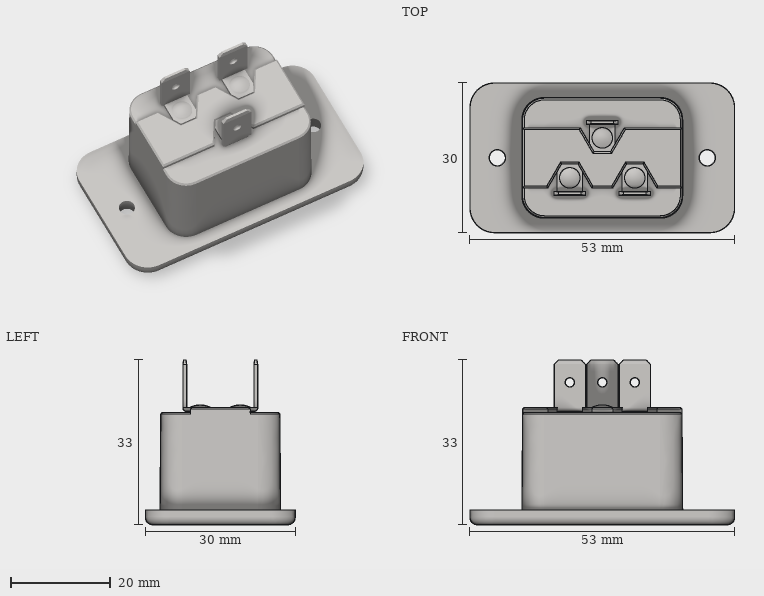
import cadquery as cq
import math

FLANGE_LENGTH = 53.0
FLANGE_WIDTH = 30.0
FLANGE_THICKNESS = 3.0
FLANGE_CORNER_RADIUS = 5.0
FLANGE_EDGE_RADIUS = FLANGE_THICKNESS / 2
MOUNT_HOLE_SPACING = 42.0
MOUNT_HOLE_DIAMETER = 3.2

HOUSING_LENGTH = 32.2
HOUSING_WIDTH = 24.15
HOUSING_CORNER_RADIUS = 4.5
HOUSING_DRAFT = 0.4
ROOF_Z = 23.5
STEP_DEPTH = 1.0
LEDGE_Z = ROOF_Z - STEP_DEPTH
RIDGE_HALF_WIDTH = 6.0
EDGE_CHAMFER = 0.35

NOTCH_END_Y = 1.23
NOTCH_END_HALF_WIDTH = 1.65
NOTCH_SIDE_ANGLE = 30.0

TERMINAL_SPACING = 6.5
SHEET_THICKNESS = 0.8
BEND_RADIUS = 0.7
BLADE_OUTER_Y = 7.5
FOOT_BOTTOM_Z = ROOF_Z - SHEET_THICKNESS
BLADE_INNER_Y = BLADE_OUTER_Y - SHEET_THICKNESS
BLADE_WIDTH = 6.3
BLADE_TOP_Z = 33.0
BLADE_CORNER_CHAMFER = 0.9
BLADE_BEVEL_DEPTH = 0.15
BLADE_HOLE_DIAMETER = 1.8
BLADE_HOLE_Z = 28.5
FOOT_WIDTH = 5.1

DOME_DIAMETER = 4.1
DOME_HEIGHT = 0.5
DOME_Y = 4.0

TERMINALS = [(0.0, 1), (-TERMINAL_SPACING, -1), (TERMINAL_SPACING, -1)]


def make_flange():
    """Rounded mounting plate with a rolled lower rim and two screw holes."""
    plate = (
        cq.Workplane("XY")
        .rect(FLANGE_LENGTH, FLANGE_WIDTH)
        .extrude(FLANGE_THICKNESS)
        .edges("|Z")
        .fillet(FLANGE_CORNER_RADIUS)
        .faces("<Z")
        .edges()
        .fillet(FLANGE_EDGE_RADIUS)
    )
    return (
        plate.faces(">Z")
        .workplane(origin=(0, 0, FLANGE_THICKNESS))
        .rarray(MOUNT_HOLE_SPACING, 1, 2, 1)
        .hole(MOUNT_HOLE_DIAMETER)
    )


def drafted_block(top_z):
    """Rounded, drafted housing block from the flange up to top_z."""
    outline = cq.Sketch().rect(HOUSING_LENGTH, HOUSING_WIDTH).vertices().fillet(HOUSING_CORNER_RADIUS)
    return (
        cq.Workplane("XY", origin=(0, 0, FLANGE_THICKNESS))
        .placeSketch(outline)
        .extrude(top_z - FLANGE_THICKNESS, taper=HOUSING_DRAFT)
    )


def chamfer_top(body):
    """Break every edge around the top face of a body."""
    return body.faces(">Z").edges().chamfer(EDGE_CHAMFER)


def notch_prism(x, side):
    """Trapezoid notch, open toward the given side of the housing."""
    depth = RIDGE_HALF_WIDTH - NOTCH_END_Y
    mouth_half_width = NOTCH_END_HALF_WIDTH + depth * math.tan(math.radians(NOTCH_SIDE_ANGLE))
    return (
        cq.Workplane("XY", origin=(x, 0, LEDGE_Z))
        .moveTo(-NOTCH_END_HALF_WIDTH, side * NOTCH_END_Y)
        .lineTo(NOTCH_END_HALF_WIDTH, side * NOTCH_END_Y)
        .lineTo(mouth_half_width, side * RIDGE_HALF_WIDTH)
        .lineTo(-mouth_half_width, side * RIDGE_HALF_WIDTH)
        .close()
        .extrude(STEP_DEPTH)
    )


def make_ridge():
    """Notched raised band across the middle of the roof, chamfered on top."""
    band = cq.Workplane("XY").box(
        HOUSING_LENGTH, 2 * RIDGE_HALF_WIDTH, ROOF_Z, centered=(True, True, False)
    )
    ridge = drafted_block(ROOF_Z).intersect(band)
    for x, side in TERMINALS:
        ridge = ridge.cut(notch_prism(x, side))
    return chamfer_top(ridge)


def place_on_side(body, x, side):
    """Move a body drawn at x = 0 on the +Y side to its own terminal."""
    if side < 0:
        body = body.mirror("XZ")
    return body.translate((x, 0, 0))


def make_blade(x, side):
    """Upright contact blade with clipped corners, a bevelled tip and a hole."""
    shoulder_z = BLADE_TOP_Z - BLADE_CORNER_CHAMFER
    side_profile = (
        cq.Workplane("YZ", origin=(-BLADE_WIDTH / 2, 0, 0))
        .moveTo(BLADE_INNER_Y, ROOF_Z)
        .lineTo(BLADE_OUTER_Y, ROOF_Z)
        .lineTo(BLADE_OUTER_Y, shoulder_z)
        .lineTo(BLADE_OUTER_Y - BLADE_BEVEL_DEPTH, BLADE_TOP_Z)
        .lineTo(BLADE_INNER_Y + BLADE_BEVEL_DEPTH, BLADE_TOP_Z)
        .lineTo(BLADE_INNER_Y, shoulder_z)
        .close()
        .extrude(BLADE_WIDTH)
    )
    clip = BLADE_WIDTH / 2 - BLADE_CORNER_CHAMFER
    front_profile = (
        cq.Workplane("XZ")
        .moveTo(-BLADE_WIDTH / 2, 0)
        .lineTo(BLADE_WIDTH / 2, 0)
        .lineTo(BLADE_WIDTH / 2, shoulder_z)
        .lineTo(clip, BLADE_TOP_Z)
        .lineTo(-clip, BLADE_TOP_Z)
        .lineTo(-BLADE_WIDTH / 2, shoulder_z)
        .close()
        .extrude(-FLANGE_WIDTH)
    )
    hole = (
        cq.Workplane("XZ")
        .center(0, BLADE_HOLE_Z)
        .circle(BLADE_HOLE_DIAMETER / 2)
        .extrude(-FLANGE_WIDTH)
    )
    blade = side_profile.intersect(front_profile).cut(hole)
    return place_on_side(blade, x, side)


def make_foot(x, side):
    """Flat foot with the bend up to the blade, trimmed to the notch walls."""
    foot = (
        cq.Workplane("YZ", origin=(-FOOT_WIDTH / 2, 0, 0))
        .moveTo(0, FOOT_BOTTOM_Z)
        .lineTo(BLADE_OUTER_Y - BEND_RADIUS, FOOT_BOTTOM_Z)
        .radiusArc((BLADE_OUTER_Y, FOOT_BOTTOM_Z + BEND_RADIUS), -BEND_RADIUS)
        .lineTo(BLADE_OUTER_Y, ROOF_Z)
        .lineTo(0, ROOF_Z)
        .close()
        .extrude(FOOT_WIDTH)
    )
    outside_ridge = cq.Workplane("XY", origin=(0, RIDGE_HALF_WIDTH, 0)).box(
        FOOT_WIDTH, FLANGE_WIDTH, BLADE_TOP_Z, centered=(True, False, False)
    )
    open_space = notch_prism(0, 1).union(outside_ridge)
    return place_on_side(foot.intersect(open_space), x, side)


def make_dome(x, side):
    """Shallow spherical cap standing on the foot."""
    rim_radius = DOME_DIAMETER / 2
    sphere_radius = (rim_radius**2 + DOME_HEIGHT**2) / (2 * DOME_HEIGHT)
    return (
        cq.Workplane("XZ", origin=(x, side * DOME_Y, ROOF_Z))
        .lineTo(rim_radius, 0)
        .radiusArc((0, DOME_HEIGHT), -sphere_radius)
        .close()
        .revolve(360, (0, 0, 0), (0, 1, 0))
    )


result = make_flange().union(chamfer_top(drafted_block(LEDGE_Z))).union(make_ridge())
for terminal_x, terminal_side in TERMINALS:
    result = result.union(make_blade(terminal_x, terminal_side))
    result = result.union(make_foot(terminal_x, terminal_side))
    result = result.union(make_dome(terminal_x, terminal_side))